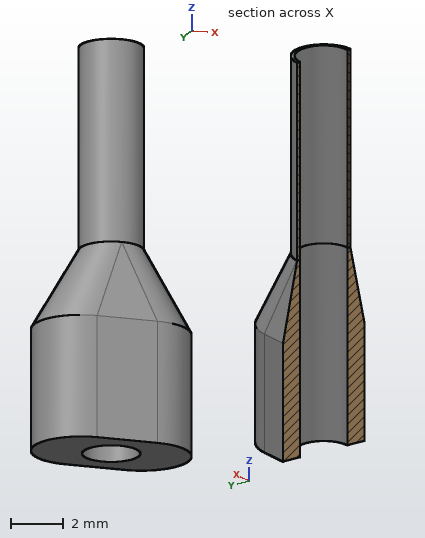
import cadquery as cq

total_height = 16.0
base_height = 4.8
shoulder_height = 3.2
collar_length = 6.2
collar_width = 3.8
tube_diameter = 2.5
bore_diameter = 2.2

collar_height = base_height + shoulder_height
end_radius = collar_width / 2
tube_radius = tube_diameter / 2
bore_radius = bore_diameter / 2
end_offset = (collar_length - collar_width) / 2


def make_base():
    """Straight lower part of the collar, with rounded ends."""
    return cq.Workplane("XY").slot2D(collar_length, collar_width).extrude(base_height)


def make_shoulder():
    """Shoulder with two skewed conical ends and a flat triangle on each long side."""
    faces = []
    base_edges = []
    top_edges = []
    for side in (-1, 1):
        centre_x = side * end_offset
        base_arc = cq.Edge.makeThreePointArc(
            cq.Vector(centre_x, -end_radius, base_height),
            cq.Vector(centre_x + side * end_radius, 0, base_height),
            cq.Vector(centre_x, end_radius, base_height),
        )
        top_arc = cq.Edge.makeThreePointArc(
            cq.Vector(0, -tube_radius, collar_height),
            cq.Vector(side * tube_radius, 0, collar_height),
            cq.Vector(0, tube_radius, collar_height),
        )
        base_edges.append(base_arc)
        top_edges.append(top_arc)
        faces.append(cq.Face.makeRuledSurface(base_arc, top_arc))

        left = cq.Vector(-end_offset, side * end_radius, base_height)
        right = cq.Vector(end_offset, side * end_radius, base_height)
        apex = cq.Vector(0, side * tube_radius, collar_height)
        triangle = cq.Wire.makePolygon([left, right, apex], close=True)
        faces.append(cq.Face.makeFromWires(triangle))
        base_edges.append(cq.Edge.makeLine(left, right))

    for edges in (base_edges, top_edges):
        outline = cq.Wire.combine(edges)[0]
        faces.append(cq.Face.makeFromWires(outline))
    return cq.Workplane(cq.Solid.makeSolid(cq.Shell.makeShell(faces)).fix())


def make_collar():
    """Insulating collar with the wire bore running straight through it."""
    bore = cq.Workplane("XY").circle(bore_radius).extrude(collar_height)
    return make_base().union(make_shoulder()).cut(bore)


def make_tube():
    """Conductor tube standing on the collar, its bore in line with the collar's."""
    top_of_collar = cq.Workplane("XY").workplane(offset=collar_height)
    return top_of_collar.circle(tube_radius).circle(bore_radius).extrude(total_height - collar_height)


collar = make_collar().solids()
tube = make_tube()
result = cq.Compound.makeCompound([collar.val(), tube.val()])